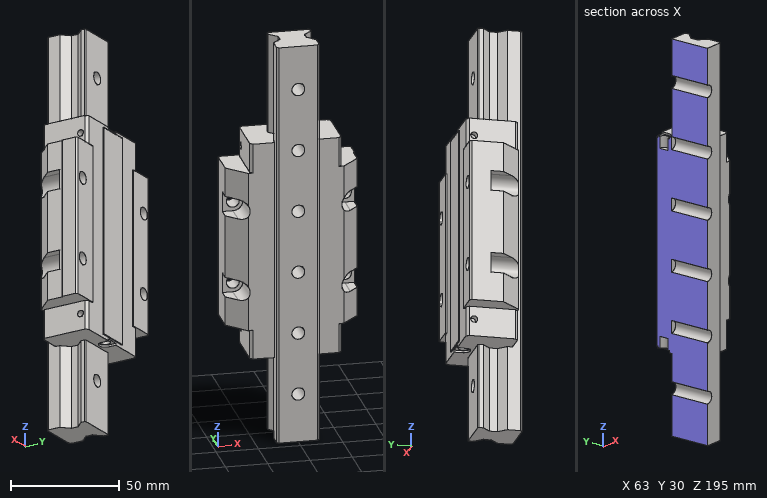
import cadquery as cq


rail_length = 195.0
rail_half_width = 10.1
rail_neck_half_width = 6.2
rail_height = 21.3
rail_base_height = 7.2
rail_head_height = 2.5
rail_base_chamfer = 1.0
rail_head_chamfer = 0.5
rail_hole_diameter = 6.0
rail_hole_count = 6
rail_hole_pitch = 30.0
rail_hole_center_z = 1.2

carriage_center_z = -3.9
back_y = 30.0
body_front_y = 4.9
body_length = 77.6
body_width = 63.0
body_half_width = body_width / 2
body_front_half_width = 22.6
body_bevel_depth = 9.4
body_back_chamfer = 1.0
reference_edge_depth = 8.2
reference_edge_relief = 0.5

pad_height = 0.5
center_pad_half_width = 8.2
center_pad_length = 102.5
side_pad_inner_x = 17.7

caps_length = 106.0
cap_half_width = 21.6
cap_back_y = back_y - pad_height
cap_chamfer = 1.4

mount_hole_diameter = 6.0
mount_seat_diameter = 9.5
mount_hole_x = 26.5
mount_hole_spacing_z = 40.0
flange_thickness = 10.0

port_y = 25.7
port_recess_width = 6.5
port_recess_depth = 1.0
port_hole_diameter = 4.7
port_hole_depth = 5.8
side_port_diameter = 3.1
side_port_depth = 3.9
side_port_from_cap_end = 8.2


def prism(points, length, center_z):
    """Extrude an XY outline along Z, centered on center_z."""
    base = cq.Workplane("XY").workplane(offset=center_z - length / 2)
    return base.polyline(points).close().extrude(length)


def block(x_min, x_max, y_min, y_max, z_min, z_max):
    """Axis-aligned box between the given limits."""
    box = cq.Workplane("XY").box(x_max - x_min, y_max - y_min, z_max - z_min, centered=False)
    return box.translate((x_min, y_min, z_min))


def cylinder(diameter, length, start, direction):
    """Cylinder running from start along direction."""
    solid = cq.Solid.makeCylinder(diameter / 2, length, cq.Vector(*start), cq.Vector(*direction))
    return cq.Workplane(solid)


def make_rail():
    groove_depth = rail_half_width - rail_neck_half_width
    head_y = rail_height - rail_head_height
    right_side = [
        (rail_half_width - rail_base_chamfer, 0),
        (rail_half_width, rail_base_chamfer),
        (rail_half_width, rail_base_height),
        (rail_neck_half_width, rail_base_height + groove_depth),
        (rail_neck_half_width, head_y - groove_depth),
        (rail_half_width, head_y),
        (rail_half_width, rail_height - rail_head_chamfer),
        (rail_half_width - rail_head_chamfer, rail_height),
    ]
    left_side = [(-x, y) for x, y in reversed(right_side)]
    return prism(right_side + left_side, rail_length, 0)


def make_rail_holes():
    first_z = rail_hole_center_z - rail_hole_pitch * (rail_hole_count - 1) / 2
    holes = cq.Workplane("XY")
    for index in range(rail_hole_count):
        start = (0, 0, first_z + index * rail_hole_pitch)
        holes = holes.add(cylinder(rail_hole_diameter, rail_height, start, (0, 1, 0)))
    return holes.combine()


def make_body():
    bevel_top_y = body_front_y + body_bevel_depth
    outline = [
        (-body_front_half_width, body_front_y),
        (body_front_half_width, body_front_y),
        (body_half_width, bevel_top_y),
        (body_half_width, back_y - body_back_chamfer),
        (body_half_width - body_back_chamfer, back_y),
        (-body_half_width + body_back_chamfer, back_y),
        (-body_half_width, back_y - body_back_chamfer),
        (-body_half_width, bevel_top_y),
    ]
    body = prism(outline, body_length, carriage_center_z)
    z_min = carriage_center_z - body_length / 2
    z_max = carriage_center_z + body_length / 2

    relief_x = body_half_width - reference_edge_relief
    relief_top_y = back_y - reference_edge_depth
    body = body.cut(block(relief_x, body_half_width, body_front_y, relief_top_y, z_min, z_max))

    for x_min in (-side_pad_inner_x, center_pad_half_width):
        x_max = x_min + side_pad_inner_x - center_pad_half_width
        body = body.cut(block(x_min, x_max, cap_back_y, back_y, z_min, z_max))
    return body


def make_caps():
    """Both end caps as one block that runs through the body, plus the central pad."""
    z_min = carriage_center_z - caps_length / 2
    z_max = carriage_center_z + caps_length / 2
    caps = block(-cap_half_width, cap_half_width, body_front_y, cap_back_y, z_min, z_max)
    caps = caps.edges("|Z").chamfer(cap_chamfer)
    pad = block(
        -center_pad_half_width,
        center_pad_half_width,
        cap_back_y,
        back_y,
        carriage_center_z - center_pad_length / 2,
        carriage_center_z + center_pad_length / 2,
    )
    return caps.union(pad)


def make_mount_cut(side, z):
    """Through hole and its U-shaped seat, open toward the outside of the flange."""
    x = side * mount_hole_x
    seat_y = back_y - flange_thickness
    seat_radius = mount_seat_diameter / 2
    hole = cylinder(mount_hole_diameter, back_y, (x, 0, z), (0, 1, 0))
    seat = cylinder(mount_seat_diameter, seat_y, (x, 0, z), (0, 1, 0))
    outer_x = side * body_half_width
    opening = block(min(x, outer_x), max(x, outer_x), 0, seat_y, z - seat_radius, z + seat_radius)
    return hole.union(seat).union(opening)


def make_port_cut(end):
    """Lubrication ports of one cap: a recessed end port and two side ports."""
    end_z = carriage_center_z + end * caps_length / 2
    inward = (0, 0, -end)
    half_width = port_recess_width / 2
    floor_z = end_z - end * port_recess_depth
    recess = cylinder(port_recess_width, port_recess_depth, (0, port_y, end_z), inward)
    opening = block(-half_width, half_width, port_y, back_y, min(end_z, floor_z), max(end_z, floor_z))
    hole = cylinder(port_hole_diameter, port_hole_depth, (0, port_y, floor_z), inward)
    ports = recess.union(opening).union(hole)
    side_z = end_z - end * side_port_from_cap_end
    for side in (-1, 1):
        start = (side * cap_half_width, port_y, side_z)
        ports = ports.union(cylinder(side_port_diameter, side_port_depth, start, (-side, 0, 0)))
    return ports


carriage = make_body().union(make_caps())
for sign in (-1, 1):
    carriage = carriage.cut(make_port_cut(sign))
    for z_offset in (-mount_hole_spacing_z / 2, mount_hole_spacing_z / 2):
        carriage = carriage.cut(make_mount_cut(sign, carriage_center_z + z_offset))

result = carriage.union(make_rail()).cut(make_rail_holes())